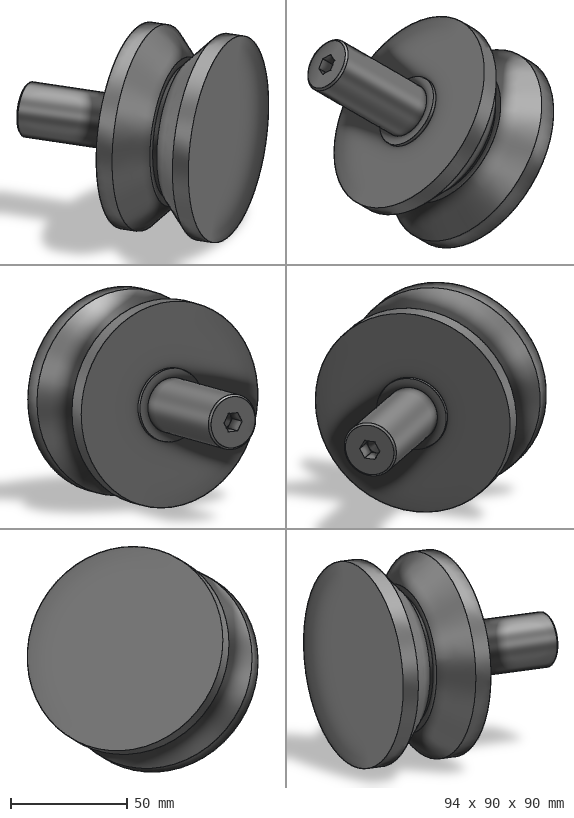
import cadquery as cq
import math

total_length = 94.0
wheel_width = 43.0
wheel_face_x = total_length - wheel_width

wheel_diameter = 90.0
wheel_radius = wheel_diameter / 2
rim_width = 7.4
neck_width = 3.2
neck_radius = 29.4
flank_width = (wheel_width - neck_width) / 2 - rim_width
flank_foot_radius = wheel_radius - flank_width

shaft_radius = 12.0
shaft_chamfer = 0.8
collar_radius = 16.1
collar_thickness = 1.6

socket_across_flats = 8.0
socket_depth = 8.0
drill_point_angle = 120.0


def cylinder(start_x, length, radius):
    """Cylinder on the X axis."""
    return cq.Workplane("YZ", origin=(start_x, 0, 0)).circle(radius).extrude(length)


def make_wheel():
    """Revolve the wheel with its V groove and relieved neck."""
    left_flank_x = wheel_face_x + rim_width
    neck_start_x = left_flank_x + flank_width
    neck_end_x = neck_start_x + neck_width
    right_flank_x = neck_end_x + flank_width
    outline = [
        (wheel_face_x, 0),
        (wheel_face_x, wheel_radius),
        (left_flank_x, wheel_radius),
        (neck_start_x, flank_foot_radius),
        (neck_start_x, neck_radius),
        (neck_end_x, neck_radius),
        (neck_end_x, flank_foot_radius),
        (right_flank_x, wheel_radius),
        (total_length, wheel_radius),
        (total_length, 0),
    ]
    return cq.Workplane("XY").polyline(outline).close().revolve(360, (0, 0, 0), (1, 0, 0))


def make_socket():
    """Hexagon with corners on the Y axis, ending in a cone."""
    across_corners = socket_across_flats / math.cos(math.radians(30))
    hexagon = cq.Workplane("YZ").polygon(6, across_corners).extrude(socket_depth)
    cone_radius = socket_across_flats / 2
    cone_depth = cone_radius / math.tan(math.radians(drill_point_angle / 2))
    cone = (
        cq.Workplane("XY")
        .moveTo(socket_depth, 0)
        .lineTo(socket_depth, cone_radius)
        .lineTo(socket_depth + cone_depth, 0)
        .close()
        .revolve(360, (0, 0, 0), (1, 0, 0))
    )
    return hexagon.union(cone)


shaft = cylinder(0, wheel_face_x, shaft_radius).faces("<X").chamfer(shaft_chamfer)
collar = cylinder(wheel_face_x - collar_thickness, collar_thickness, collar_radius)

result = make_wheel().union(collar).union(shaft).cut(make_socket())